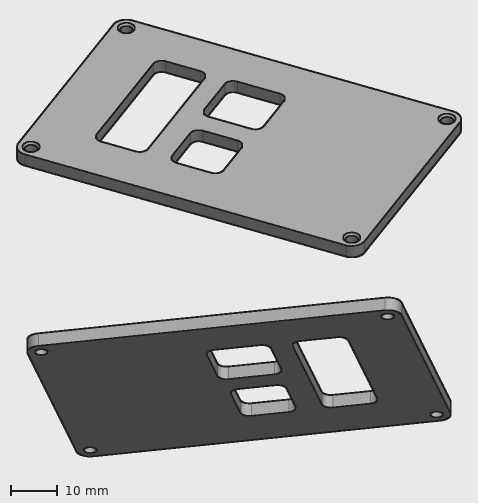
import cadquery as cq

length = 81.8
width = 53.3
thickness = 3.0
corner_radius = 3.0

hole_diameter = 2.7
countersink_depth = 0.5
countersink_angle = 90.0
countersink_diameter = hole_diameter + 2 * countersink_depth
hole_inset = corner_radius

window_top = 16.45
window_bottom = -15.5

slot_height = window_top - window_bottom
slot_width = 12.1
slot_center_x = -21.1
slot_radius = 2.0

upper_window_size = 14.0
upper_window_center_x = -3.3
upper_window_radius = 2.0

lower_window_width = 12.1
lower_window_height = 12.85
lower_window_center_x = upper_window_center_x
lower_window_radius = 2.0


def window_cutter(center_x, bottom, size_x, size_y, radius):
    """Rounded rectangular prism that passes through the whole plate."""
    return (
        cq.Workplane("XY")
        .center(center_x, bottom + size_y / 2)
        .rect(size_x, size_y)
        .extrude(thickness)
        .edges("|Z")
        .fillet(radius)
    )


plate = (
    cq.Workplane("XY")
    .rect(length, width)
    .extrude(thickness)
    .edges("|Z")
    .fillet(corner_radius)
)

plate = (
    plate.faces(">Z")
    .workplane()
    .rect(length - 2 * hole_inset, width - 2 * hole_inset, forConstruction=True)
    .vertices()
    .cskHole(hole_diameter, countersink_diameter, countersink_angle)
)

plate = plate.cut(
    window_cutter(slot_center_x, window_bottom, slot_width, slot_height, slot_radius)
)

plate = plate.cut(
    window_cutter(
        upper_window_center_x,
        window_top - upper_window_size,
        upper_window_size,
        upper_window_size,
        upper_window_radius,
    )
)

plate = plate.cut(
    window_cutter(
        lower_window_center_x,
        window_bottom,
        lower_window_width,
        lower_window_height,
        lower_window_radius,
    )
)

result = plate